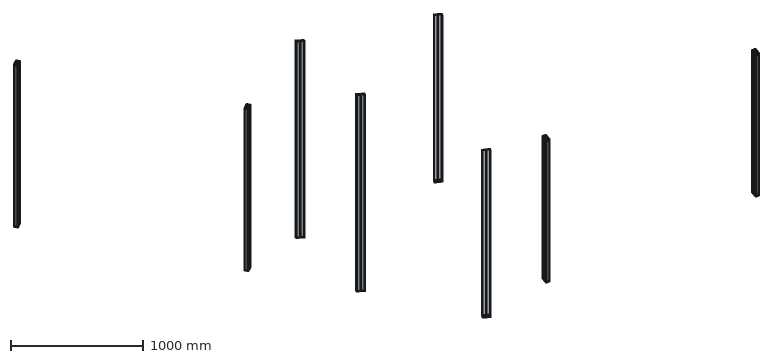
import cadquery as cq

overall_width = 1855.0
rail_height = 1522.0

rail_width = 30.0
rail_depth = 60.0
groove_width = 4.0
groove_depth = 11.0

rail_offset = (overall_width - rail_width) / 2


def make_rail(center_x):
    """Upright rail with a deep, narrow groove along the middle of each wide face."""
    rail = cq.Workplane("XY").rect(rail_width, rail_depth).extrude(rail_height)
    grooves = (
        cq.Workplane("XY")
        .pushPoints([(-rail_width / 2, 0), (rail_width / 2, 0)])
        .rect(2 * groove_depth, groove_width)
        .extrude(rail_height)
    )
    return rail.cut(grooves).translate((center_x, 0, 0))


rails = [make_rail(side * rail_offset) for side in (-1, 1)]

result = cq.Compound.makeCompound([rail.val() for rail in rails])